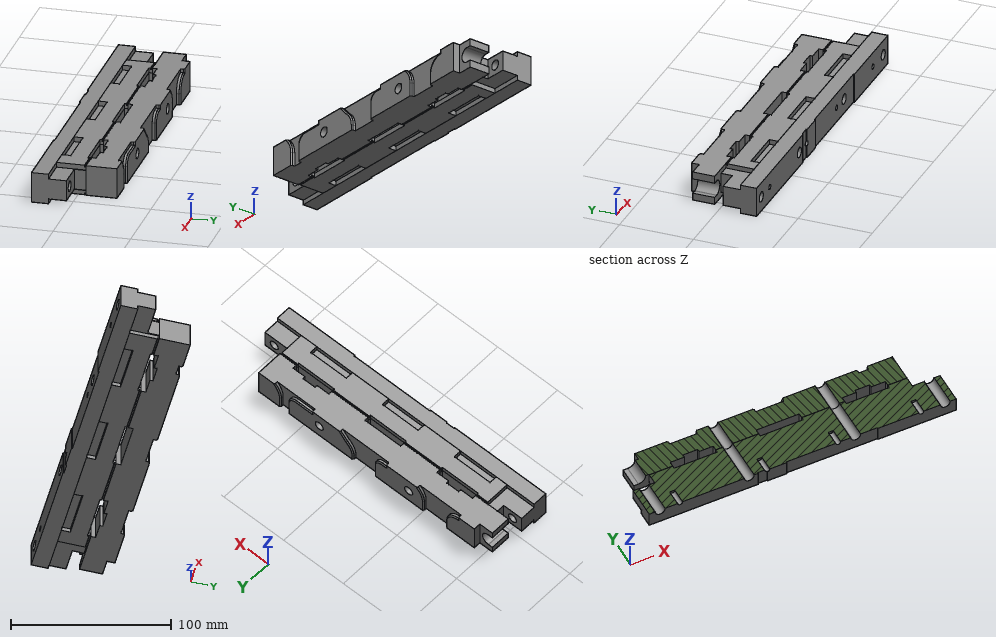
import cadquery as cq

LENGTH = 215.0
HEIGHT = 20.0
HALF_HEIGHT = HEIGHT / 2

BAR_DEPTH = 11.0
FLANGE_BACK = 22.5
CORE_START = 15.0
CORE_END = 195.6
CORE_BACK = 30.0
PLATE_THICKNESS = 3.2
CORE_HEIGHT = HEIGHT - 2 * PLATE_THICKNESS

FACE_RELIEFS = [(76.3, 82.8), (96.5, 160.0)]
RELIEF_DEPTH = 0.6

BOLT_DIAMETER = 6.7
BOLT_EDGE_DISTANCE = 7.7
BOLT_SPACING = 62.4
BOLT_XS = [
    BOLT_EDGE_DISTANCE,
    BOLT_EDGE_DISTANCE + BOLT_SPACING,
    LENGTH - BOLT_EDGE_DISTANCE - BOLT_SPACING,
    LENGTH - BOLT_EDGE_DISTANCE,
]
PIN_HOLE_DIAMETER = 3.2
PIN_HOLE_XS = [21.7, 82.8, 132.7, 190.5]

PLATE_START = 22.5
PLATE_END = 195.0
REBATE = 1.0

WINDOW_PITCH = 60.2
WINDOW_MIDDLE = 106.9
WINDOW_XS = [WINDOW_MIDDLE + i * WINDOW_PITCH for i in (-1, 0, 1)]
WINDOW_LENGTH = 29.9
WINDOW_FRONT = 28.0
WINDOW_BACK = 33.1
DEEP_POCKET_XS = [WINDOW_XS[0], WINDOW_XS[-1]]
DEEP_POCKET_LENGTH = 10.0
DEEP_POCKET_BACK = 35.0
PLATE_POCKET_BACK = 16.8

JAW_TONGUE_START = 4.5
JAW_START = CORE_START
JAW_END = CORE_END
JAW_TONGUE_BACK = 45.0
JAW_BACK = 50.0
SLOT_WIDTH = 10.0

BACK_RELIEFS = [
    ((28.5, 28.5, 39.0, 57.6, 62.8, 62.8), HALF_HEIGHT),
    ((89.0, 92.7, 98.7, 116.5, 122.1, 127.5), 4.3),
    ((151.0, 164.5, 171.0, 177.4, 182.3, 182.3), HALF_HEIGHT),
]
BACK_RELIEF_DEPTH = 2.5
SHELF_DROP = 2.2
FAR_ARC_RISE = 10.8
RIM_CHAMFER = 0.9
RIM_TAPER = 45


def box(x_range, y_range, height):
    """Box centred on mid-height."""
    (x0, x1), (y0, y1) = x_range, y_range
    return cq.Workplane("XY").box(x1 - x0, y1 - y0, height).translate(((x0 + x1) / 2, (y0 + y1) / 2, 0))


def span(centre, length):
    """Start and end of a length about its centre."""
    return (centre - length / 2, centre + length / 2)


def bore(x, diameter, depth):
    """Cylinder along +Y from the mounting face."""
    return cq.Workplane("XZ").center(x, 0).circle(diameter / 2).extrude(-depth)


def windows():
    """Three through-windows shared by the rail, the plates and the jaw."""
    cutter = cq.Workplane("XY")
    for x in WINDOW_XS:
        cutter = cutter.add(box(span(x, WINDOW_LENGTH), (WINDOW_FRONT, WINDOW_BACK), HEIGHT))
    return cutter.combine()


def make_rail():
    """Rail with its mounting-face reliefs, bolt holes and blind pin holes."""
    rail = box((0, LENGTH), (0, BAR_DEPTH), HEIGHT)
    rail = rail.union(box((0, LENGTH), (BAR_DEPTH, FLANGE_BACK), CORE_HEIGHT))
    rail = rail.union(box((CORE_START, CORE_END), (FLANGE_BACK, CORE_BACK), CORE_HEIGHT))
    for relief in FACE_RELIEFS:
        rail = rail.cut(box(relief, (0, RELIEF_DEPTH), HEIGHT))
    for x in BOLT_XS:
        rail = rail.cut(bore(x, BOLT_DIAMETER, CORE_BACK))
    for x in PIN_HOLE_XS:
        rail = rail.cut(bore(x, PIN_HOLE_DIAMETER, BAR_DEPTH))
    return rail.cut(windows())


def make_plate(side):
    """Cover plate on the top (side = 1) or the bottom (side = -1) of the core."""
    plate = box((PLATE_START, PLATE_END), (BAR_DEPTH, CORE_BACK), PLATE_THICKNESS)
    rebate_z = side * (PLATE_THICKNESS - REBATE) / 2
    rebate = box((PLATE_START, PLATE_END), (CORE_BACK - REBATE, CORE_BACK), REBATE)
    plate = plate.cut(rebate.translate((0, 0, rebate_z)))
    plate = plate.cut(windows())
    for x in WINDOW_XS:
        plate = plate.cut(box(span(x, WINDOW_LENGTH), (BAR_DEPTH, PLATE_POCKET_BACK), HEIGHT))
    return plate.translate((0, 0, side * (CORE_HEIGHT + PLATE_THICKNESS) / 2))


def relief_outline(stations, crest_height):
    """Outline of a cross-slot on the back face of the jaw."""
    start, shelf_end, near_wall, far_wall, crest, end = stations
    shelf = HALF_HEIGHT - SHELF_DROP
    outline = (
        cq.Workplane("XZ", origin=(0, JAW_BACK, 0))
        .moveTo(start, HALF_HEIGHT)
        .lineTo(start, shelf)
    )
    if shelf_end > start:
        outline = outline.lineTo(shelf_end, shelf)
    near_radius = near_wall - shelf_end
    near_centre = shelf - near_radius
    outline = (
        outline.radiusArc((near_wall, near_centre), near_radius)
        .lineTo(near_wall, -HALF_HEIGHT)
        .lineTo(far_wall, -HALF_HEIGHT)
        .lineTo(far_wall, crest_height - FAR_ARC_RISE)
        .tangentArcPoint((crest, crest_height), relative=False)
    )
    if end > crest:
        outline = outline.lineTo(end, HALF_HEIGHT)
    return outline.close()


def back_relief(stations, crest_height):
    """Cross-slot with a chamfered rim."""
    slot = relief_outline(stations, crest_height).extrude(BACK_RELIEF_DEPTH)
    rim = relief_outline(stations, crest_height).offset2D(RIM_CHAMFER)
    return slot.union(rim.extrude(RIM_CHAMFER, taper=RIM_TAPER))


def make_jaw():
    """Jaw with an open-ended bolt slot through its tongue."""
    jaw = box((JAW_TONGUE_START, JAW_END), (CORE_BACK, JAW_TONGUE_BACK), HEIGHT)
    jaw = jaw.union(box((JAW_START, JAW_END), (JAW_TONGUE_BACK, JAW_BACK), HEIGHT))
    jaw = jaw.cut(windows())
    for x in DEEP_POCKET_XS:
        jaw = jaw.cut(box(span(x, DEEP_POCKET_LENGTH), (CORE_BACK, DEEP_POCKET_BACK), HEIGHT))
    jaw = jaw.cut(box((0, BOLT_EDGE_DISTANCE), (0, JAW_BACK), SLOT_WIDTH))
    jaw = jaw.cut(bore(BOLT_EDGE_DISTANCE, SLOT_WIDTH, JAW_BACK))
    for x in BOLT_XS[1:-1]:
        jaw = jaw.cut(bore(x, BOLT_DIAMETER, JAW_BACK))
    for relief in BACK_RELIEFS:
        jaw = jaw.cut(back_relief(*relief))
    return jaw


rail = make_rail()
plates = [make_plate(side) for side in (1, -1)]
jaw = make_jaw()

result = cq.Compound.makeCompound([rail.val(), *[plate.val() for plate in plates], jaw.val()])